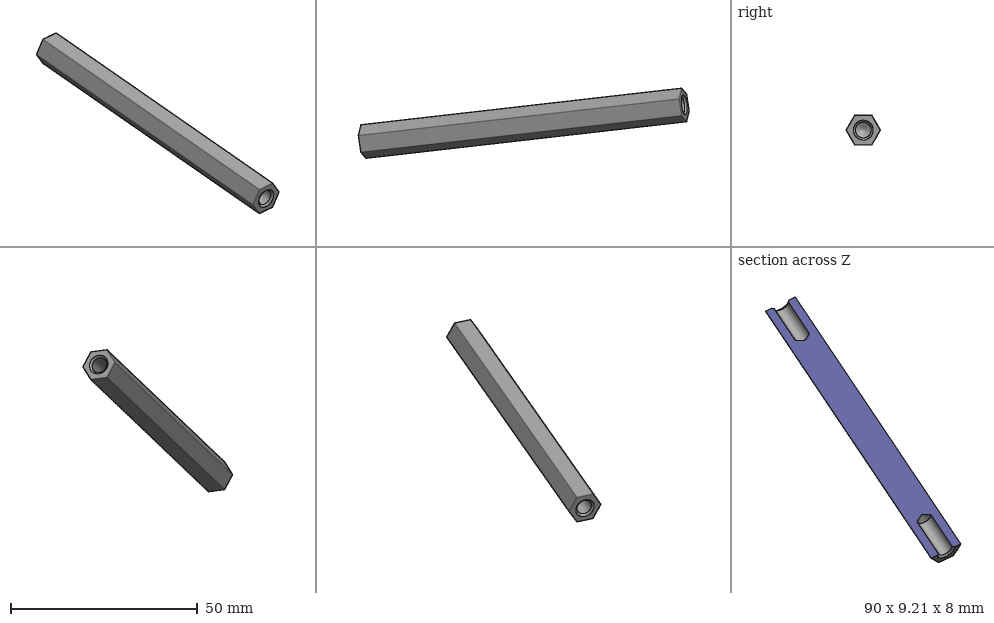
import cadquery as cq
import math

length = 90.0
across_flats = 8.0
edge_radius = 0.1

core_diameter = 4.2
mouth_diameter = 5.3
countersink_angle = 90.0
hole_depth = 12.0
drill_point_angle = 120.0


def cone_height(diameter_change, included_angle):
    """Axial length over which a cone changes by the given diameter."""
    return diameter_change / 2 / math.tan(math.radians(included_angle / 2))


def hexagonal_bar():
    """Hexagonal bar centred on the origin, with flats facing +Z and -Z."""
    across_corners = across_flats / math.cos(math.radians(30))
    return (
        cq.Workplane("YZ")
        .polygon(6, across_corners)
        .extrude(length / 2, both=True)
        .edges()
        .fillet(edge_radius)
    )


def threaded_hole():
    """Countersunk blind hole with a drill point, entering from the -X end."""
    core_radius = core_diameter / 2
    mouth_radius = mouth_diameter / 2
    start = -length / 2
    countersink_end = start + cone_height(mouth_diameter - core_diameter, countersink_angle)
    core_end = start + hole_depth
    tip = core_end + cone_height(core_diameter, drill_point_angle)
    return (
        cq.Workplane("XY")
        .moveTo(start, 0)
        .lineTo(start, mouth_radius)
        .lineTo(countersink_end, core_radius)
        .lineTo(core_end, core_radius)
        .lineTo(tip, 0)
        .close()
        .revolve(360, (0, 0, 0), (1, 0, 0))
    )


near_hole = threaded_hole()
far_hole = near_hole.mirror("YZ")
result = hexagonal_bar().cut(near_hole).cut(far_hole)